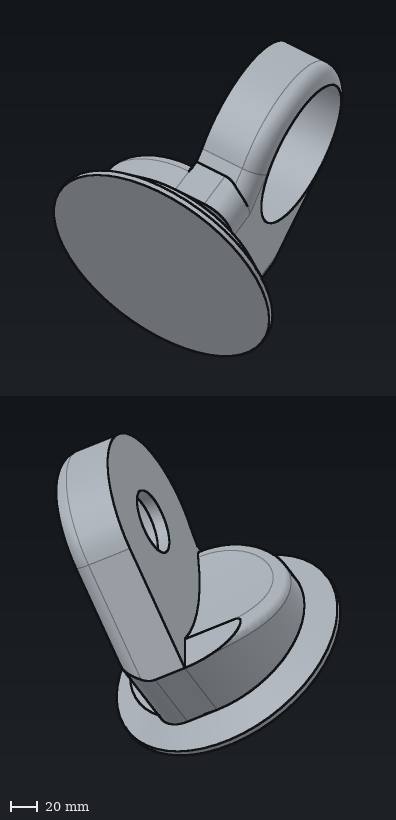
import cadquery as cq
import math

overall_x = 190.0
overall_y = 189.0
overall_z = 206.7

rim_radius = overall_x / 2
rim_thickness = 5.0
cone_top = 20.0
boss_radius = 75.0
boss_top = 70.0

scoop_radius = 154.0
scoop_y = 201.0
scoop_z = 37.0
scoop_edge_fillet = 10.0

lug_thickness = 50.5
eye_radius = 72.5
eye_y = overall_y - eye_radius
eye_z = overall_z - rim_radius - eye_radius
hole_radius = 25.0
hole_y = 118.8
web_thickness = 10.0
recess_radius = 57.5
lug_fillet = 14.9
shoulder_y = 50.2
neck_y = 58.3
foot_fillet = 25.0


def make_flange():
    return (
        cq.Workplane("XY")
        .polyline([(0, 0), (rim_radius, 0), (rim_radius, rim_thickness),
                   (boss_radius, cone_top), (0, cone_top)])
        .close()
        .revolve(360, (0, 0, 0), (0, 1, 0))
    )


def make_boss():
    """Half cylinder on the -X side, scooped out around the eye."""
    cylinder = cq.Workplane("XZ").circle(boss_radius).extrude(-boss_top)
    scoop = (
        cq.Workplane("YZ", origin=(-rim_radius, 0, 0))
        .center(scoop_y, scoop_z)
        .circle(scoop_radius)
        .extrude(2 * rim_radius)
    )
    scoop_face_point = (0, scoop_y - scoop_radius, scoop_z)
    rounded = (
        cylinder.cut(scoop)
        .faces(cq.selectors.NearestToPointSelector(scoop_face_point))
        .edges("not(|X)")
        .fillet(scoop_edge_fillet)
    )
    half_space = cq.Workplane("XY").box(
        rim_radius, 2 * boss_top, 2 * rim_radius, centered=(False, True, True)
    ).translate((-rim_radius, 0, 0))
    return rounded.intersect(half_space)


def make_lug():
    neck_z = eye_z + math.sqrt(eye_radius**2 - (neck_y - eye_y)**2)
    slope = (neck_z - boss_radius) / (neck_y - shoulder_y)

    root_z = boss_radius - slope * (shoulder_y - cone_top)

    corner_y_offset = boss_top - eye_y
    corner_z_offset = -boss_radius - eye_z
    corner_distance = math.hypot(corner_y_offset, corner_z_offset)
    corner_angle = math.atan2(corner_z_offset, corner_y_offset)
    tangent_angle = corner_angle + math.acos(eye_radius / corner_distance)
    tangent_point = (eye_y + eye_radius * math.cos(tangent_angle),
                     eye_z + eye_radius * math.sin(tangent_angle))

    plate = (
        cq.Workplane("YZ")
        .moveTo(cone_top, -boss_radius)
        .lineTo(boss_top, -boss_radius)
        .lineTo(*tangent_point)
        .threePointArc((eye_y, eye_z + eye_radius), (neck_y, neck_z))
        .lineTo(cone_top, root_z)
        .close()
        .extrude(lug_thickness)
        .faces(">X")
        .edges("not(<Y)")
        .fillet(lug_fillet)
    )
    hole = (
        cq.Workplane("YZ")
        .center(hole_y, eye_z)
        .circle(hole_radius)
        .extrude(lug_thickness)
    )
    recess = (
        cq.Workplane("YZ", origin=(web_thickness, 0, 0))
        .center(hole_y, eye_z)
        .circle(recess_radius)
        .extrude(lug_thickness)
    )

    foot = (
        cq.Workplane("XY")
        .box(lug_thickness, shoulder_y - cone_top, 2 * boss_radius, centered=(False, False, True))
        .translate((0, cone_top, 0))
        .edges("|Y and >X")
        .fillet(foot_fillet)
    )
    corner_envelope = (
        cq.Workplane("XY", origin=(0, 0, -boss_radius))
        .box(lug_thickness, eye_y + eye_radius, boss_radius + eye_z + eye_radius, centered=False)
        .edges("|Y and >X and <Z")
        .fillet(foot_fillet)
    )
    return plate.intersect(corner_envelope).union(foot).cut(hole).cut(recess)


result = make_flange().union(make_boss()).union(make_lug())